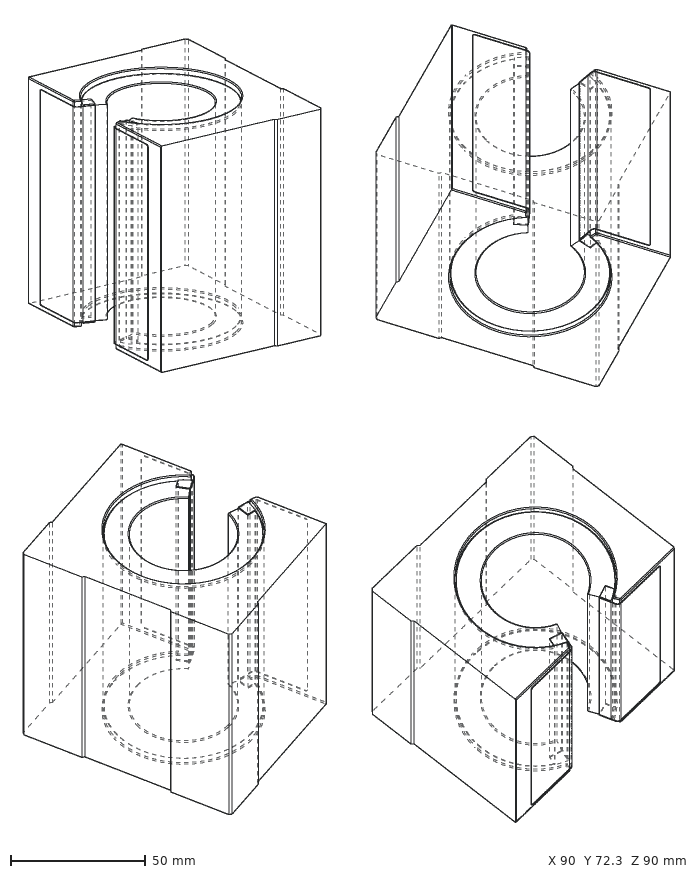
import cadquery as cq
import math


length = 90.0
half_width = 45.0
back_y = 42.0
front_y = -30.0
relief = 0.8
side_relief_y = 21.8
back_relief_half = 19.3
corner_chamfer = 0.9
front_chamfer = 0.4
rim_chamfer = 0.45

bearing_radius = 30.0
bore_radius = 20.2
bearing_chamfer = 0.45
bearing_recess = 2.2
bearing_length = length - 2 * bearing_recess
opening_half_angle = math.radians(25)

sheet = 0.3
cover_outer_x = -35.8
cover_corner_radius = 0.9
cover_recess = 2.2
cover_length = length - 2 * cover_recess
bend_x = -13.95
bend_radius = 1.8
lip_length = 6.7
lip_tilt = math.radians(18)

seal_width = 5.3
seal_recess = 1.6
seal_length = length - 2 * seal_recess
seal_radius = bearing_radius - bearing_chamfer
seal_reach = 10.8

margin = 0.9

lip_direction = (math.sin(lip_tilt), math.cos(lip_tilt))
lip_normal = (math.cos(lip_tilt), -math.sin(lip_tilt))
bend_center = (bend_x, front_y - sheet + bend_radius)


def shifted(point, direction, distance):
    """Point moved along a unit direction in the XY plane."""
    return (point[0] + distance * direction[0], point[1] + distance * direction[1])


def extruded(sketch, height):
    """Closed XY outline extruded symmetrically about Z = 0."""
    return sketch.close().extrude(height / 2, both=True)


def cylinder(radius, height):
    return cq.Workplane("XY").circle(radius).extrude(height / 2, both=True)


def opening_wedge():
    """Radial wedge that opens housing and sleeve towards -Y."""
    depth = 2 * bearing_radius
    half = depth * math.tan(opening_half_angle)
    return extruded(cq.Workplane("XY").polyline([(0, 0), (half, -depth), (-half, -depth)]), 2 * length)


def edges_within(workplane, x_reach, y_low, y_high, kind=None):
    """Edges whose centers lie within +-x_reach and between y_low and y_high."""
    box = cq.selectors.BoxSelector((-x_reach, y_low, -length), (x_reach, y_high, length))
    selector = box if kind is None else box & cq.StringSyntaxSelector(kind)
    return workplane.edges(selector)


def make_housing():
    relief_x = half_width - relief
    right_side = [
        (back_relief_half - relief, back_y - relief),
        (back_relief_half, back_y),
        (half_width - corner_chamfer, back_y),
        (half_width, back_y - corner_chamfer),
        (half_width, side_relief_y),
        (relief_x, side_relief_y - relief),
        (relief_x, front_y + front_chamfer),
        (relief_x - front_chamfer, front_y),
    ]
    left_side = [(-x, y) for x, y in reversed(right_side)]
    block = extruded(cq.Workplane("XY").polyline(right_side + left_side), length)
    block = block.cut(cylinder(bearing_radius, 2 * length)).cut(opening_wedge())
    opening_x = -front_y * math.tan(opening_half_angle)
    opening_corners = edges_within(block, opening_x + margin, front_y - margin, front_y + margin, "|Z")
    block = opening_corners.chamfer(front_chamfer)
    ends = block.faces("<Z or >Z")
    rim = edges_within(ends, relief_x - margin, front_y - margin, bearing_radius + margin)
    return rim.chamfer(rim_chamfer)


def cover_end():
    """Slot-side corner at the inner end of the left lip."""
    bend_end = shifted(bend_center, lip_normal, bend_radius)
    return shifted(bend_end, lip_direction, lip_length)


def make_left_cover():
    half_turn = (lip_tilt + math.pi / 2) / 2
    bend_middle = (math.cos(half_turn), -math.sin(half_turn))
    inner_radius = bend_radius - sheet
    outline = (
        cq.Workplane("XY")
        .moveTo(cover_outer_x, front_y - sheet)
        .lineTo(bend_x, front_y - sheet)
        .threePointArc(
            shifted(bend_center, bend_middle, bend_radius),
            shifted(bend_center, lip_normal, bend_radius),
        )
        .lineTo(*cover_end())
        .lineTo(*shifted(cover_end(), lip_normal, -sheet))
        .lineTo(*shifted(bend_center, lip_normal, inner_radius))
        .threePointArc(
            shifted(bend_center, bend_middle, inner_radius),
            (bend_x, front_y),
        )
        .lineTo(cover_outer_x, front_y)
    )
    cover = extruded(outline, cover_length)
    return cover.faces("<X").edges("|Y").fillet(cover_corner_radius)


def seal_bar(height):
    """Untrimmed bar lying on the back of the left lip."""
    top_inner = shifted(cover_end(), lip_normal, -sheet)
    top_outer = shifted(top_inner, lip_normal, -seal_width)
    corners = [
        top_inner,
        top_outer,
        shifted(top_outer, lip_direction, -seal_reach),
        shifted(top_inner, lip_direction, -seal_reach),
    ]
    return extruded(cq.Workplane("XY").polyline(corners), height)


def make_left_seal():
    return seal_bar(seal_length).intersect(cylinder(seal_radius, length))


def make_bearing():
    sleeve = cylinder(bearing_radius, bearing_length).cut(cylinder(bore_radius, length))
    sleeve = sleeve.faces("<Z or >Z").edges().chamfer(bearing_chamfer)
    notch = seal_bar(length)
    return sleeve.cut(opening_wedge()).cut(notch).cut(notch.mirror("YZ"))


bodies = [make_housing(), make_bearing()]
for make_left_body in (make_left_cover, make_left_seal):
    left_body = make_left_body()
    bodies.append(left_body)
    bodies.append(left_body.mirror("YZ"))

result = cq.Compound.makeCompound([body.val() for body in bodies])